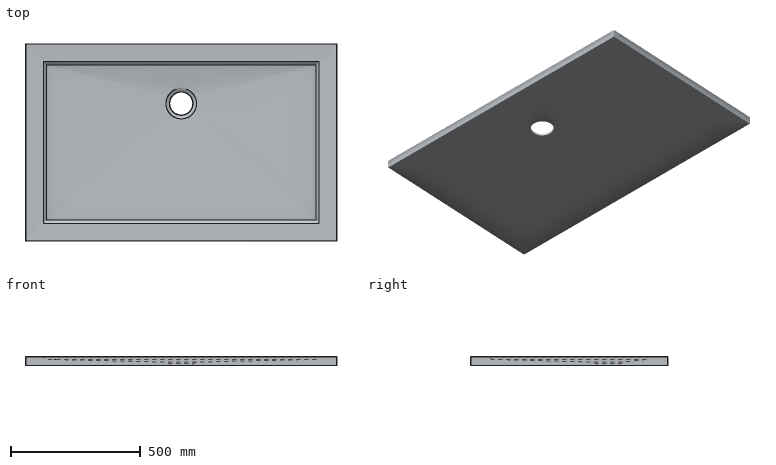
import cadquery as cq
import math

length = 1200.0
width = 760.0
height = 35.0
edge_radius = 4.0

rim_width = 68.0
rim_drop = 2.0
step_width = 12.0
step_drop = 8.0
outer_corner_radius = 0.1
rim_corner_radius = 4.0
floor_corner_radius = 2.0

drain_y = 150.0
drain_radius = 45.0
drain_rim_radius = 59.0
floor_fall = 11.0
drain_rim_depth = 6.0

back_panel_angle = 35
side_split_angle = -2
front_panel_angle = -33
corner_panel_angle = 1.5
side_split_y = -19.0

rim_inner_z = height - rim_drop
floor_edge_z = rim_inner_z - step_drop
drain_rim_z = floor_edge_z - floor_fall
drain_z = drain_rim_z - drain_rim_depth


def arc(center, radius, start, end, z):
    """Horizontal arc between two angles given in degrees."""
    points = []
    for angle in (start, (start + end) / 2, end):
        turn = math.radians(angle)
        x = center[0] + radius * math.cos(turn)
        y = center[1] + radius * math.sin(turn)
        points.append(cq.Vector(x, y, z))
    return cq.Edge.makeThreePointArc(*points)


def line(start, end):
    return cq.Edge.makeLine(start, end)


def rounded_rectangle(inset, radius, z):
    """Counterclockwise edges from the right side, with both short sides split in two."""
    x = length / 2 - inset - radius
    y = width / 2 - inset - radius
    corners = [
        arc((x, y), radius, 0, 90, z),
        arc((-x, y), radius, 90, 180, z),
        arc((-x, -y), radius, 180, 270, z),
        arc((x, -y), radius, 270, 360, z),
    ]
    back_right, back_left, front_left, front_right = corners
    right_split = cq.Vector(x + radius, side_split_y, z)
    left_split = cq.Vector(-x - radius, side_split_y, z)
    return [
        line(right_split, back_right.startPoint()),
        back_right,
        line(back_right.endPoint(), back_left.startPoint()),
        back_left,
        line(back_left.endPoint(), left_split),
        line(left_split, front_left.startPoint()),
        front_left,
        line(front_left.endPoint(), front_right.startPoint()),
        front_right,
        line(front_right.endPoint(), right_split),
    ]


def drain_ring(radius, z):
    """Circle divided at the edges of the floor panels."""
    half = corner_panel_angle / 2
    angles = [
        side_split_angle,
        back_panel_angle - half,
        back_panel_angle + half,
        180 - back_panel_angle - half,
        180 - back_panel_angle + half,
        180 - side_split_angle,
        180 - front_panel_angle - half,
        180 - front_panel_angle + half,
        360 + front_panel_angle - half,
        360 + front_panel_angle + half,
        360 + side_split_angle,
    ]
    return [arc((0, drain_y), radius, a, b, z) for a, b in zip(angles, angles[1:])]


def ruled_faces(outer, inner):
    return [cq.Face.makeRuledSurface(a, b) for a, b in zip(outer, inner)]


def flared_drain():
    """Conical drain seat continuing as a straight hole through the bottom."""
    seat = cq.Solid.makeCone(
        drain_radius, drain_rim_radius, drain_rim_z - drain_z, cq.Vector(0, drain_y, drain_z)
    )
    hole = cq.Solid.makeCylinder(drain_radius, drain_z, cq.Vector(0, drain_y, 0))
    return cq.Workplane(obj=seat).union(cq.Workplane(obj=hole))


def basin():
    """Volume removed from above: rim slope, step, and floor falling to the drain rim."""
    outer = rounded_rectangle(edge_radius, outer_corner_radius, height)
    rim_inner = rounded_rectangle(rim_width, rim_corner_radius, rim_inner_z)
    floor_edge = rounded_rectangle(rim_width + step_width, floor_corner_radius, floor_edge_z)
    drain_rim = drain_ring(drain_rim_radius, drain_rim_z)
    faces = ruled_faces(outer, rim_inner)
    faces += ruled_faces(rim_inner, floor_edge)
    faces += ruled_faces(floor_edge, drain_rim)
    faces.append(cq.Face.makeFromWires(cq.Wire.assembleEdges(outer)))
    faces.append(cq.Face.makeFromWires(cq.Wire.assembleEdges(drain_rim)))
    shell = cq.Shell.makeShell(faces)
    return cq.Workplane(obj=cq.Solid.makeSolid(shell).fix())


slab = cq.Workplane("XY").box(length, width, height, centered=(True, True, False))
slab = slab.faces(">Z").edges().fillet(edge_radius)
result = slab.cut(basin()).cut(flared_drain())